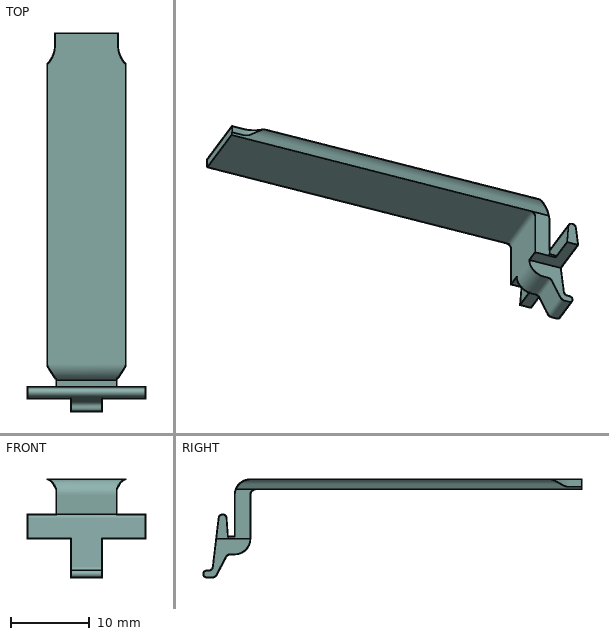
import cadquery as cq


length = 48.0
height = 12.5

arm_width = 10.0
arm_thickness = 1.3
flank_width = 8.45
flank_depth = 0.6
flank_radius = 1.3

neck_width = 8.0
neck_length = 1.55
neck_radius = 3.45

leg_width = 7.7
leg_thickness = 2.0
leg_front = 4.0
leg_back = leg_front + leg_thickness
inner_bend_radius = 0.65
leg_bottom = -7.55

bar_width = 15.0
bar_top = -4.45
bar_bottom_front = 1.65
bar_bottom_back = 3.15
bar_shoulder = -4.95
bar_shoulder_back = 3.0
web_thickness = 0.3

hook_width = 4.0
hook_floor = leg_bottom - leg_thickness
hook_floor_front = 3.05
hook_floor_radius = 0.6
toe_thickness = 0.9
toe_heel = 1.55
toe_heel_radius = 0.65
toe_root = 1.15
toe_fillet = 0.5
toe_top = -height + toe_thickness

face_slope = (bar_bottom_front - toe_root) / (leg_bottom - toe_top)
bar_shoulder_front = bar_bottom_front + face_slope * (bar_shoulder - leg_bottom)


def extrude_along_x(profile, width):
    """Extrude a closed YZ profile symmetrically about X = 0."""
    return profile.close().extrude(width / 2, both=True)


def make_strip():
    """Arm and leg as one bent strip, at full arm width."""
    profile = (
        cq.Workplane("YZ")
        .moveTo(length, 0)
        .lineTo(leg_front, 0)
        .lineTo(leg_front, leg_bottom)
        .lineTo(leg_back, leg_bottom)
        .lineTo(leg_back, -arm_thickness)
        .lineTo(length, -arm_thickness)
    )
    strip = extrude_along_x(profile, arm_width)
    outer_bend = cq.selectors.NearestToPointSelector((0, leg_front, 0))
    inner_bend = cq.selectors.NearestToPointSelector((0, leg_back, -arm_thickness))
    strip = strip.edges("|X").edges(outer_bend).fillet(leg_thickness)
    return strip.edges("|X").edges(inner_bend).fillet(inner_bend_radius)


def make_section_envelope():
    """Front outline of the strip: tapered flanks on the arm, straight sides on the leg."""
    outline = (
        cq.Workplane("XZ")
        .moveTo(-arm_width / 2, 0)
        .lineTo(arm_width / 2, 0)
        .radiusArc((flank_width / 2, -flank_depth), -flank_radius)
        .lineTo(leg_width / 2, -arm_thickness)
        .lineTo(leg_width / 2, leg_bottom)
        .lineTo(-leg_width / 2, leg_bottom)
        .lineTo(-leg_width / 2, -arm_thickness)
        .lineTo(-flank_width / 2, -flank_depth)
        .radiusArc((-arm_width / 2, 0), -flank_radius)
        .close()
    )
    return outline.extrude(-length)


def make_neck_cut(side):
    """Material removed beside the neck; side is +1 or -1 along X."""
    inner = neck_width / 2
    outer = arm_width / 2
    step = outer - inner
    run = (neck_radius**2 - (neck_radius - step) ** 2) ** 0.5
    arc_start = length - neck_length
    return (
        cq.Workplane("XY")
        .moveTo(side * inner, length)
        .lineTo(side * inner, arc_start)
        .radiusArc((side * outer, arc_start - run), -side * neck_radius)
        .lineTo(side * outer, length)
        .close()
        .extrude(-arm_thickness)
    )


def make_crossbar():
    """Tapered bar with a rounded top."""
    crest = ((bar_shoulder_front + bar_shoulder_back) / 2, bar_top)
    profile = (
        cq.Workplane("YZ")
        .moveTo(bar_bottom_front, leg_bottom)
        .lineTo(bar_bottom_back, leg_bottom)
        .lineTo(bar_shoulder_back, bar_shoulder)
        .threePointArc(crest, (bar_shoulder_front, bar_shoulder))
    )
    return extrude_along_x(profile, bar_width)


def make_web():
    """Thin floor joining the leg to the crossbar."""
    web_front = (bar_bottom_front + bar_bottom_back) / 2
    profile = (
        cq.Workplane("YZ")
        .moveTo(web_front, leg_bottom)
        .lineTo(leg_back, leg_bottom)
        .lineTo(leg_back, leg_bottom + web_thickness)
        .lineTo(web_front, leg_bottom + web_thickness)
    )
    return extrude_along_x(profile, leg_width)


def make_hook():
    """Narrow hook with a rounded back, a sloping shank and a round-nosed toe."""
    nose_radius = toe_thickness / 2
    profile = (
        cq.Workplane("YZ")
        .moveTo(bar_bottom_front, leg_bottom)
        .lineTo(leg_back, leg_bottom)
        .radiusArc((leg_front, hook_floor), leg_thickness)
        .lineTo(hook_floor_front, hook_floor)
        .lineTo(toe_heel, -height)
        .lineTo(nose_radius, -height)
        .radiusArc((nose_radius, toe_top), nose_radius)
        .lineTo(toe_root, toe_top)
    )
    hook = extrude_along_x(profile, hook_width)
    corners = [
        (hook_floor_front, hook_floor, hook_floor_radius),
        (toe_heel, -height, toe_heel_radius),
        (toe_root, toe_top, toe_fillet),
    ]
    for y, z, radius in corners:
        corner = cq.selectors.NearestToPointSelector((0, y, z))
        hook = hook.edges("|X").edges(corner).fillet(radius)
    return hook


body = make_strip().intersect(make_section_envelope())
for side in (-1, 1):
    body = body.cut(make_neck_cut(side))

result = body.union(make_web()).union(make_crossbar()).union(make_hook())